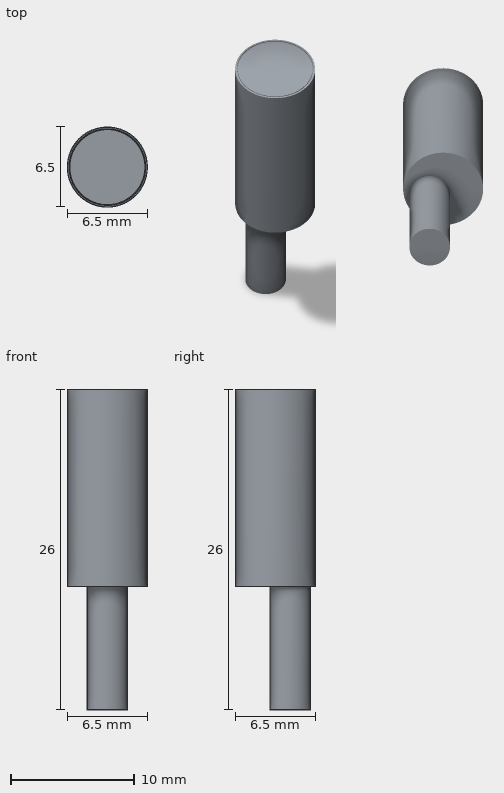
import cadquery as cq

body_diameter = 6.5
body_length = 16.0

rim_width = 0.14
groove_width = 0.06
groove_depth = 0.1

pin_diameter = 3.3
pin_length = 10.0
pin_offset_y = 1.2


def make_body():
    return cq.Workplane("XY").circle(body_diameter / 2).extrude(body_length)


def make_groove():
    outer_radius = body_diameter / 2 - rim_width
    inner_radius = outer_radius - groove_width
    groove_floor = cq.Workplane("XY").workplane(offset=body_length - groove_depth)
    return groove_floor.circle(outer_radius).circle(inner_radius).extrude(groove_depth)


def make_pin():
    return cq.Workplane("XY").center(0, pin_offset_y).circle(pin_diameter / 2).extrude(-pin_length)


result = make_body().cut(make_groove()).union(make_pin())